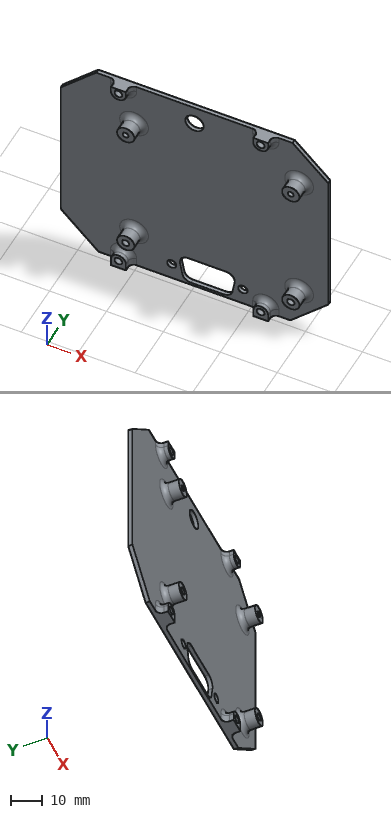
import cadquery as cq
import math

PLATE_WIDTH = 94.0
PLATE_HEIGHT = 80.95
PLATE_THICKNESS = 1.5
TOP_CORNER_CUT = 12.5
BOTTOM_CORNER_CUT = 13.3

STANDOFF_TIP = 7.28
MOUNT_TIP = 5.0
FOOT_FILLET = 2.0

STANDOFF_RADIUS = 3.05
STANDOFF_LEFT_X = -21.3
STANDOFF_LOWER_Z = -25.4
STANDOFF_SPACING_X = 58.0
STANDOFF_SPACING_Z = 49.0
UPPER_STANDOFF_HOLE = 2.0
LOWER_STANDOFF_HOLE = 2.5

MOUNT_RADIUS = 2.6
MOUNT_OFFSET_X = 25.0
MOUNT_HOLE = 2.7
UPPER_MOUNT_INSET = 2.0
LOWER_MOUNT_INSET = 3.0

CABLE_HOLE = 6.4
CABLE_HOLE_Z = 33.4

CONNECTOR_X = 4.5
CONNECTOR_Z = -34.15
CONNECTOR_TOP_WIDTH = 20.4
CONNECTOR_HEIGHT = 10.6
CONNECTOR_SIDE_TILT = 10.0
CONNECTOR_CORNER_RADIUS = 3.0
CONNECTOR_SCREW_SPACING = 25.0
CONNECTOR_SCREW_HOLE = 3.2

HALF_WIDTH = PLATE_WIDTH / 2
HALF_HEIGHT = PLATE_HEIGHT / 2
STANDOFF_UPPER_Z = STANDOFF_LOWER_Z + STANDOFF_SPACING_Z
UPPER_MOUNT_Z = HALF_HEIGHT - UPPER_MOUNT_INSET
LOWER_MOUNT_Z = -HALF_HEIGHT + LOWER_MOUNT_INSET


def make_plate():
    """Rectangular plate with all four corners cut at 45 degrees."""
    right_side = [
        (HALF_WIDTH - BOTTOM_CORNER_CUT, -HALF_HEIGHT),
        (HALF_WIDTH, -HALF_HEIGHT + BOTTOM_CORNER_CUT),
        (HALF_WIDTH, HALF_HEIGHT - TOP_CORNER_CUT),
        (HALF_WIDTH - TOP_CORNER_CUT, HALF_HEIGHT),
    ]
    left_side = [(-x, z) for x, z in reversed(right_side)]
    outline = cq.Workplane("XZ").polyline(right_side + left_side).close()
    return outline.extrude(PLATE_THICKNESS)


def half_profile(radius, tip):
    """Half section of a boss in the XY plane, its foot flared by a concave fillet."""
    foot_y = -PLATE_THICKNESS
    foot_radius = radius + FOOT_FILLET
    bend = FOOT_FILLET * (1 - math.sqrt(0.5))
    return (
        cq.Workplane("XY")
        .lineTo(foot_radius, 0)
        .lineTo(foot_radius, foot_y)
        .threePointArc((radius + bend, foot_y - bend), (radius, foot_y - FOOT_FILLET))
        .lineTo(radius, -tip)
        .lineTo(0, -tip)
        .close()
    )


def round_boss(x, z, radius, tip):
    """Cylindrical boss with a flared foot."""
    profile = half_profile(radius, tip)
    return profile.revolve(360, (0, 0, 0), (0, 1, 0)).translate((x, 0, z))


def edge_mount(x, z):
    """Round boss extended straight to the nearer horizontal edge and trimmed there."""
    edge_z = math.copysign(HALF_HEIGHT, z)
    half_block = half_profile(MOUNT_RADIUS, MOUNT_TIP).extrude(edge_z - z)
    block = half_block.union(half_block.mirror("YZ")).translate((x, 0, z))
    trim = cq.Workplane("XY").box(PLATE_WIDTH, 2 * MOUNT_TIP, PLATE_HEIGHT)
    boss = round_boss(x, z, MOUNT_RADIUS, MOUNT_TIP).intersect(trim)
    return block.union(boss)


def through_hole(x, z, diameter):
    """Cutter passing through the plate and any boss on it."""
    return cq.Workplane("XZ").center(x, z).circle(diameter / 2).extrude(STANDOFF_TIP)


def connector_opening():
    """Cutter shaped as a trapezoid with rounded corners, wider at the top."""
    top_half = CONNECTOR_TOP_WIDTH / 2
    bottom_half = top_half - CONNECTOR_HEIGHT * math.tan(math.radians(CONNECTOR_SIDE_TILT))
    top_z = CONNECTOR_HEIGHT / 2
    corners = [(-top_half, top_z), (top_half, top_z), (bottom_half, -top_z), (-bottom_half, -top_z)]
    opening = (
        cq.Workplane("XZ")
        .center(CONNECTOR_X, CONNECTOR_Z)
        .polyline(corners)
        .close()
        .extrude(PLATE_THICKNESS)
    )
    return opening.edges("|Y").fillet(CONNECTOR_CORNER_RADIUS)


body = make_plate()
cutters = [through_hole(0, CABLE_HOLE_Z, CABLE_HOLE), connector_opening()]

for x in (STANDOFF_LEFT_X, STANDOFF_LEFT_X + STANDOFF_SPACING_X):
    for z, hole in ((STANDOFF_LOWER_Z, LOWER_STANDOFF_HOLE), (STANDOFF_UPPER_Z, UPPER_STANDOFF_HOLE)):
        body = body.union(round_boss(x, z, STANDOFF_RADIUS, STANDOFF_TIP))
        cutters.append(through_hole(x, z, hole))

for x in (-MOUNT_OFFSET_X, MOUNT_OFFSET_X):
    for z in (LOWER_MOUNT_Z, UPPER_MOUNT_Z):
        body = body.union(edge_mount(x, z))
        cutters.append(through_hole(x, z, MOUNT_HOLE))

for side in (-1, 1):
    screw_x = CONNECTOR_X + side * CONNECTOR_SCREW_SPACING / 2
    cutters.append(through_hole(screw_x, CONNECTOR_Z, CONNECTOR_SCREW_HOLE))

for cutter in cutters:
    body = body.cut(cutter)

result = body